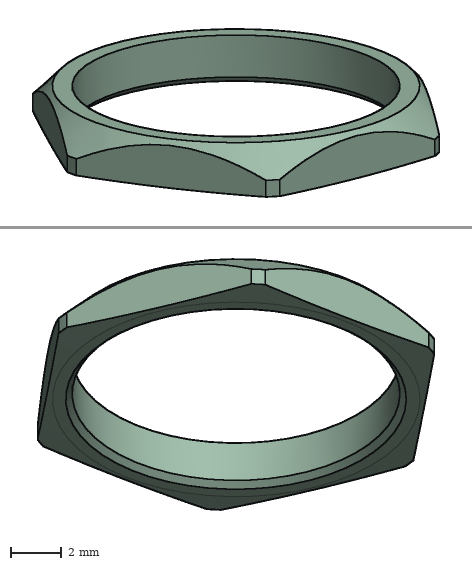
import cadquery as cq
import math

corner_diameter = 17.0
across_flats = 15.0
height = 2.0
bore_diameter = 13.0
face_diameter = 14.59
bottom_bevel_height = 0.1
bore_bevel = 0.25

corner_radius = corner_diameter / 2
face_radius = face_diameter / 2
top_bevel_height = corner_radius - face_radius


def hexagonal_blank():
    """Hexagonal prism with sharp corners on the X axis."""
    sharp_corner_diameter = across_flats / math.cos(math.pi / 6)
    return cq.Workplane("XY").polygon(6, sharp_corner_diameter).extrude(height)


def turned_envelope():
    """Round body that trims the corners and bevels both faces."""
    return (
        cq.Workplane("XZ")
        .lineTo(face_radius, 0)
        .lineTo(corner_radius, bottom_bevel_height)
        .lineTo(corner_radius, height - top_bevel_height)
        .lineTo(face_radius, height)
        .lineTo(0, height)
        .close()
        .revolve(360, (0, 0, 0), (0, 1, 0))
    )


def bore():
    """Through hole with a 45 degree bevel at its lower edge."""
    bore_radius = bore_diameter / 2
    return (
        cq.Workplane("XZ")
        .lineTo(bore_radius + bore_bevel, 0)
        .lineTo(bore_radius, bore_bevel)
        .lineTo(bore_radius, height)
        .lineTo(0, height)
        .close()
        .revolve(360, (0, 0, 0), (0, 1, 0))
    )


result = hexagonal_blank().intersect(turned_envelope()).cut(bore())